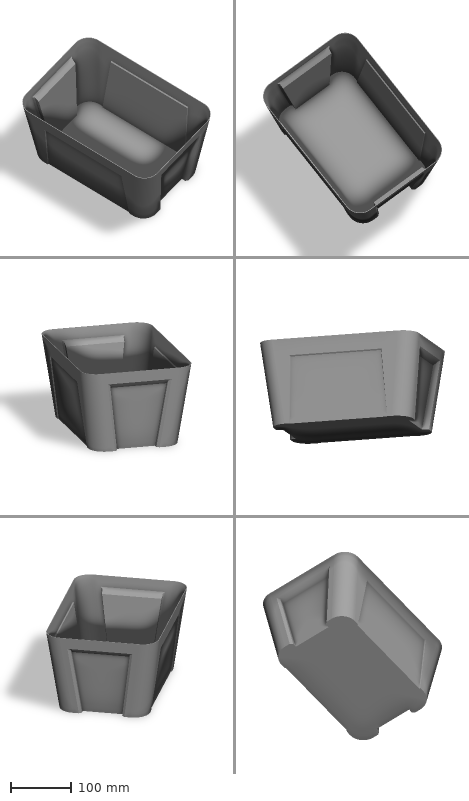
import cadquery as cq

height = 140.0
rim_length, rim_width = 275.0, 191.0
base_length, base_width = 241.7, 153.0
corner_radius = 27.5
wall = 1.0

end_mouth = {"half_base": 38.5, "half_top": 55.0, "top": 120.5}
end_panel = {"half_base": 34.0, "half_top": 49.2, "top": 111.0}
end_depth_base, end_depth_top = 11.0, 9.4
shoulder_fraction = 0.33

side_mouth = {"half_base": 85.0, "half_top": 79.8, "top": 112.2}
side_panel = {"half_base": 84.5, "half_top": 78.6, "top": 110.3}
side_depth = 2.0
full_bevel = 1.0

below_base = 5.5
mouth_overrun = 2.8


def tub_body(inset):
    """Solid tapered tub, with its side faces moved inward by inset."""
    sections = []
    for z, length, width in ((0, base_length, base_width), (height, rim_length, rim_width)):
        outline = cq.Sketch().rect(length - 2 * inset, width - 2 * inset)
        outline = outline.vertices().fillet(corner_radius - inset)
        sections.append(outline.moved(cq.Location(cq.Vector(0, 0, z))))
    return cq.Workplane("XY").placeSketch(*sections).loft(ruled=True)


def side_taper(shape):
    """Change of half width per unit of height."""
    return (shape["half_top"] - shape["half_base"]) / shape["top"]


def trapezoid_points(shape, reach_base, reach_slope, growth):
    """Corners of a trapezoid on a plane leaning outward along +X, grown all round."""
    top = shape["top"] + growth
    corners = []
    for side, z in ((-1, -below_base), (1, -below_base), (1, top), (-1, top)):
        half_width = shape["half_base"] + growth + side_taper(shape) * z
        reach = reach_base + reach_slope * z
        corners.append(cq.Vector(reach, side * half_width, z))
    return corners


def shoulder_shape(mouth, panel, fraction):
    """Trapezoid with the panel's side lines, reaching up to the sloping ledge."""
    top = mouth["top"] + fraction * (panel["top"] - mouth["top"])
    half_top = panel["half_base"] + side_taper(panel) * top
    return {"half_base": panel["half_base"], "half_top": half_top, "top": top}


def flat_face(points):
    """Planar face bounded by straight lines through the points."""
    return cq.Face.makeFromWires(cq.Wire.makePolygon(points, close=True))


def solid_through(sections):
    """Solid through trapezoid sections, with one unbroken ledge face and one base face."""
    faces = [flat_face(sections[0]), flat_face(sections[-1])]
    for first, second in ((0, 1), (2, 3)):
        one_side = [section[first] for section in sections]
        other_side = [section[second] for section in sections]
        faces.append(flat_face(one_side + other_side[::-1]))
    for low, high in ((1, 2), (0, 3)):
        for inner, outer in zip(sections, sections[1:]):
            inner_edge = cq.Edge.makeLine(inner[low], inner[high])
            outer_edge = cq.Edge.makeLine(outer[low], outer[high])
            faces.append(cq.Face.makeRuledSurface(inner_edge, outer_edge))
    solid = cq.Solid.makeSolid(cq.Shell.makeShell(faces))
    return cq.Workplane(obj=solid.fix())


def recess_cutter(mouth, panel, base_reach, rim_reach, depth_base, depth_top, bevel_fraction, growth):
    """Cutter for the +X wall, bevelled over part of its depth; growth enlarges it."""
    slope = (rim_reach - base_reach) / height
    depth_change = (depth_base - depth_top) / panel["top"]
    mouth_points = trapezoid_points(mouth, base_reach, slope, growth)
    panel_points = trapezoid_points(
        panel, base_reach - depth_base - growth, slope + depth_change, growth
    )
    inner_points = panel_points
    sections = [panel_points]
    if bevel_fraction < 1:
        shoulder = shoulder_shape(mouth, panel, bevel_fraction)
        inner_points = [
            cq.Vector(m.x + bevel_fraction * (p.x - m.x), corner.y, corner.z)
            for m, p, corner in zip(
                mouth_points, panel_points, trapezoid_points(shoulder, base_reach, slope, growth)
            )
        ]
        sections.append(inner_points)
    overrun = mouth_overrun / (bevel_fraction * depth_base)
    sections.append([m + (m - p) * overrun for m, p in zip(mouth_points, inner_points)])
    return solid_through(sections)


def recessed_body(inset):
    """Tub body with all four recesses, offset inward by inset."""
    body = tub_body(inset)
    end_cutter = recess_cutter(
        end_mouth, end_panel, base_length / 2, rim_length / 2,
        end_depth_base, end_depth_top, shoulder_fraction, inset,
    )
    side_cutter = recess_cutter(
        side_mouth, side_panel, base_width / 2, rim_width / 2,
        side_depth, side_depth, full_bevel, inset,
    )
    for cutter, first_angle in ((end_cutter, 0), (side_cutter, 90)):
        for angle in (first_angle, first_angle + 180):
            body = body.cut(cutter.rotate((0, 0, 0), (0, 0, 1), angle))
    return body


floor_slab = cq.Workplane("XY").box(rim_length, rim_width, wall, centered=(True, True, False))
cavity = recessed_body(wall).cut(floor_slab)
result = recessed_body(0).cut(cavity)